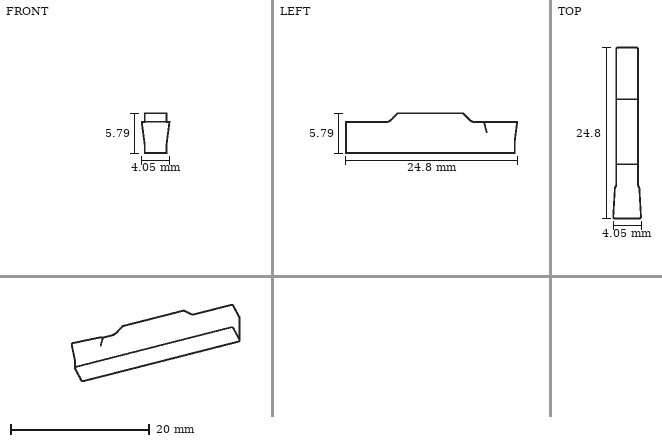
import cadquery as cq
import math

overall_length = 24.79
shank_width = 3.2
shoulder_height = 4.5
hump_height = 5.79
hump_length = 9.42
flank_angle = 45.0
flank_root_radius = 1.0
corner_radius = 0.3

head_width = 4.05
relief_angle = 7.0
head_depth = 3.9
front_face_depth = 2.85
neck_start = 4.8
neck_end = 4.47
neck_width = 3.57
neck_radius = 0.2

side_slope = (head_width - neck_width) / 2 / (neck_end - corner_radius)
head_width_at_corner = head_width + 2 * side_slope * corner_radius

front_setback = front_face_depth * math.tan(math.radians(relief_angle))
shank_length = overall_length - front_setback
cutting_edge_y = -overall_length / 2
shank_center_y = front_setback / 2


def make_shank():
    """Bar with rounded upright corners and a hump with sloping flanks."""
    hump_rise = hump_height - shoulder_height
    flank_run = hump_rise / math.tan(math.radians(flank_angle))
    half_length = shank_length / 2
    half_top = hump_length / 2
    half_foot = half_top + flank_run
    profile = [
        (-half_length, 0),
        (half_length, 0),
        (half_length, shoulder_height),
        (half_foot, shoulder_height),
        (half_top, hump_height),
        (-half_top, hump_height),
        (-half_foot, shoulder_height),
        (-half_length, shoulder_height),
    ]
    shank = cq.Workplane("YZ").polyline(profile).close().extrude(shank_width / 2, both=True)
    for foot_y in (-half_foot, half_foot):
        foot = cq.selectors.NearestToPointSelector((0, foot_y, shoulder_height))
        shank = shank.edges("|X").edges(foot).fillet(flank_root_radius)
    shank = shank.edges("|Z").fillet(corner_radius)
    return shank.translate((0, shank_center_y, 0))


def make_head():
    """Tapered block that narrows downward and toward the shank."""
    half_shank = shank_width / 2
    half_neck = neck_width / 2
    half_front = head_width_at_corner / 2
    back_y = cutting_edge_y + neck_start
    neck_y = cutting_edge_y + neck_end
    flare_run = neck_start - neck_end
    flare_rise = half_neck - half_shank
    buried_y = back_y + flare_run
    half_back = half_shank - flare_rise
    outline = [
        (-half_front, cutting_edge_y),
        (half_front, cutting_edge_y),
        (half_neck, neck_y),
        (half_back, buried_y),
        (-half_back, buried_y),
        (-half_neck, neck_y),
    ]
    head = (
        cq.Workplane("XY", origin=(0, 0, shoulder_height))
        .polyline(outline)
        .close()
        .extrude(-head_depth, taper=relief_angle)
    )
    mid_z = shoulder_height - head_depth / 2
    for side in (-1, 1):
        for half_x, edge_y, radius in (
            (half_front, cutting_edge_y, corner_radius),
            (half_neck, neck_y, neck_radius),
        ):
            corner = cq.selectors.NearestToPointSelector((side * half_x, edge_y, mid_z))
            head = head.edges("not #Z").edges(corner).fillet(radius)
    return head


result = make_shank().union(make_head())